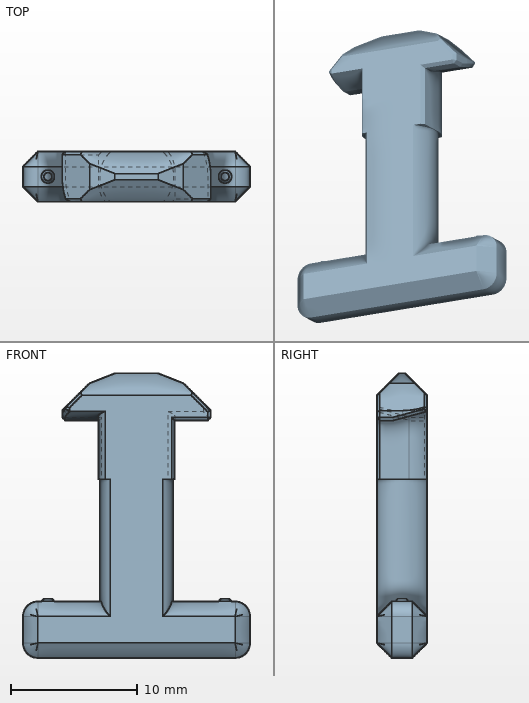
import cadquery as cq
import math

height = 22.55
thickness = 4.0
half_thick = thickness / 2
edge_chamfer = 0.25

bar_half_length = 9.0
bar_height = 4.49
bar_bevel = 1.2

pip_x = 7.01
pip_height = 0.23
pip_base_radius = 0.52
pip_top_radius = 0.32

shank_half_width = 2.93
shank_face_half_width = 2.07
shank_step_z = 14.16
neck_half_width = 3.02
neck_corner_radius = 2.25
neck_round_start_y = -0.52

head_radius = 5.89
head_bottom_z = 18.8
head_end_top_z = 19.6
head_shoulder_x = 3.72
head_crest_half_length = 1.71
head_crest_half_width = 0.25
ramp_start_y = 0.7
ramp_angle = 15.0


def with_half_turn(half):
    """Join a solid to its copy turned half a turn about Z."""
    return half.union(half.rotate((0, 0, 0), (0, 0, 1), 180))


def make_crossbar():
    """Rounded bar whose side edges are bevelled at 45 degrees all round."""
    flat_half = half_thick - bar_bevel
    round_x = bar_half_length - bar_bevel
    upper_z = bar_height - bar_bevel
    middle = (
        cq.Workplane("YZ").rect(thickness, bar_height).extrude(round_x, both=True)
        .edges("|X").chamfer(bar_bevel)
        .translate((0, 0, bar_height / 2))
    )
    ends = (
        cq.Workplane("XY").rect(2 * bar_half_length, thickness).extrude(upper_z - bar_bevel)
        .edges("|Z").chamfer(bar_bevel)
        .translate((0, 0, bar_bevel))
    )
    bar = middle.union(ends)
    corner = (
        cq.Workplane("XY")
        .moveTo(0, -half_thick)
        .lineTo(bar_bevel, -flat_half)
        .lineTo(bar_bevel, flat_half)
        .lineTo(0, half_thick)
        .close()
        .revolve(90, (0, 0, 0), (0, 1, 0))
    )
    corner_places = [(round_x, bar_bevel), (-round_x, bar_bevel), (-round_x, upper_z), (round_x, upper_z)]
    for quarter_turns, (x, z) in enumerate(corner_places):
        turned = corner.rotate((0, 0, 0), (0, 1, 0), 90 * quarter_turns)
        bar = bar.union(turned.translate((x, 0, z)))
    return bar


def make_pip(x):
    """Small 45-degree cone standing on top of the crossbar."""
    cone = cq.Solid.makeCone(pip_base_radius, pip_top_radius, pip_height)
    return cq.Workplane(cone.translate(cq.Vector(x, 0, bar_height)))


def make_shank():
    """Shank with flat front and back and bowed sides, from the crossbar to the neck."""
    base_z = bar_height / 2
    return (
        cq.Workplane("XY", origin=(0, 0, base_z))
        .moveTo(-shank_face_half_width, -half_thick)
        .lineTo(shank_face_half_width, -half_thick)
        .threePointArc((shank_half_width, 0), (shank_face_half_width, half_thick))
        .lineTo(-shank_face_half_width, half_thick)
        .threePointArc((-shank_half_width, 0), (-shank_face_half_width, -half_thick))
        .close()
        .extrude(shank_step_z - base_z)
    )


def make_neck():
    """Keyed neck: one rounded and one chamfered corner on each side."""
    reach = neck_round_start_y + half_thick
    angle = math.asin(reach / neck_corner_radius)
    center_x = -neck_half_width + neck_corner_radius
    arc_mid = (
        center_x - neck_corner_radius * math.cos(angle / 2),
        neck_round_start_y - neck_corner_radius * math.sin(angle / 2),
    )
    arc_end = (center_x - neck_corner_radius * math.cos(angle), -half_thick)
    half = (
        cq.Workplane("XY", origin=(0, 0, shank_step_z))
        .moveTo(0, half_thick)
        .lineTo(-neck_half_width + edge_chamfer, half_thick)
        .lineTo(-neck_half_width, half_thick - edge_chamfer)
        .lineTo(-neck_half_width, neck_round_start_y)
        .threePointArc(arc_mid, arc_end)
        .lineTo(0, -half_thick)
        .close()
        .extrude(head_end_top_z - shank_step_z)
    )
    return with_half_turn(half)


def is_head_chamfer_edge(edge):
    """Pick the outer edges of the head's end and the lower edge of its back."""
    tolerance = 0.002
    middle = edge.Center()
    at_end = middle.x < -(head_shoulder_x + head_radius) / 2
    if abs(abs(middle.y) - half_thick) < tolerance:
        at_bottom = abs(middle.z - head_bottom_z) < tolerance
        return at_end or at_bottom
    runs_across = edge.BoundingBox().ylen > tolerance
    is_low = middle.z < head_end_top_z - edge_chamfer / 2
    return at_end and runs_across and is_low


def make_head():
    """Roofed hammer head with a rounded leading corner and a ramp under each arm."""
    arc_angle = math.asin(half_thick / head_radius)
    arc_mid = (-head_radius * math.cos(arc_angle / 2), -head_radius * math.sin(arc_angle / 2))
    arc_end = (-head_radius * math.cos(arc_angle), -half_thick)
    plan = (
        cq.Workplane("XY")
        .moveTo(0, half_thick)
        .lineTo(-head_radius, half_thick)
        .lineTo(-head_radius, 0)
        .threePointArc(arc_mid, arc_end)
        .lineTo(0, -half_thick)
        .close()
        .extrude(height)
    )
    shoulder_z = head_end_top_z + head_radius - head_shoulder_x
    long_outline = (
        cq.Workplane("XZ")
        .polyline([
            (0, 0),
            (-head_radius, 0),
            (-head_radius, head_end_top_z),
            (-head_shoulder_x, shoulder_z),
            (-head_crest_half_length, height),
            (0, height),
        ])
        .close()
        .extrude(half_thick, both=True)
    )
    eave_z = height - (half_thick - head_crest_half_width)
    ramp_top_z = head_bottom_z + (ramp_start_y + half_thick) * math.tan(math.radians(ramp_angle))
    cross_section = (
        cq.Workplane("YZ")
        .polyline([
            (half_thick, head_bottom_z),
            (half_thick, eave_z),
            (head_crest_half_width, height),
            (-head_crest_half_width, height),
            (-half_thick, eave_z),
            (-half_thick, ramp_top_z),
            (ramp_start_y, head_bottom_z),
        ])
        .close()
        .extrude(-head_radius)
    )
    half = plan.intersect(long_outline).intersect(cross_section)
    chamfer_edges = [edge for edge in half.edges().vals() if is_head_chamfer_edge(edge)]
    return with_half_turn(half.newObject(chamfer_edges).chamfer(edge_chamfer))


result = make_crossbar().union(make_shank()).union(make_neck()).union(make_head())
for side in (-1, 1):
    result = result.union(make_pip(side * pip_x))